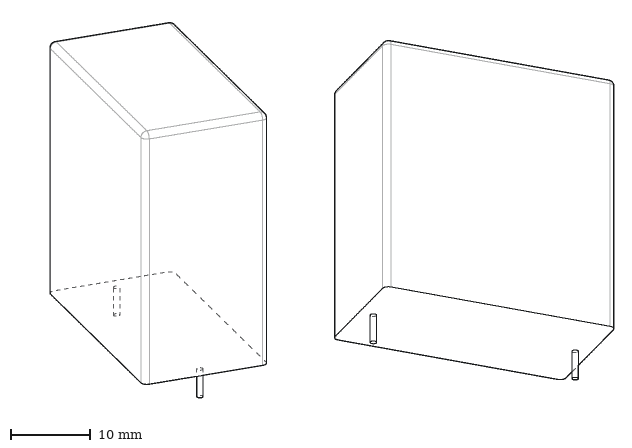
import cadquery as cq

total_height = 38.3
case_length = 31.5
case_width = 17.0

lead_length = 3.8
lead_diameter = 0.8
lead_pitch = 27.5

case_height = total_height - lead_length
edge_radius = 0.8


def make_case():
    """Box standing on Z = 0, rounded on its upright and top edges, sharp at the base."""
    box = cq.Workplane("XY").box(case_length, case_width, case_height, centered=(True, True, False))
    return box.edges("|Z or >Z").fillet(edge_radius)


def make_lead(x):
    """Round lead hanging from the underside of the case."""
    return cq.Workplane("XY").center(x, 0).circle(lead_diameter / 2).extrude(-lead_length)


case = make_case()
leads = [make_lead(side * lead_pitch / 2) for side in (-1, 1)]

result = cq.Compound.makeCompound([case.val(), *[lead.val() for lead in leads]])